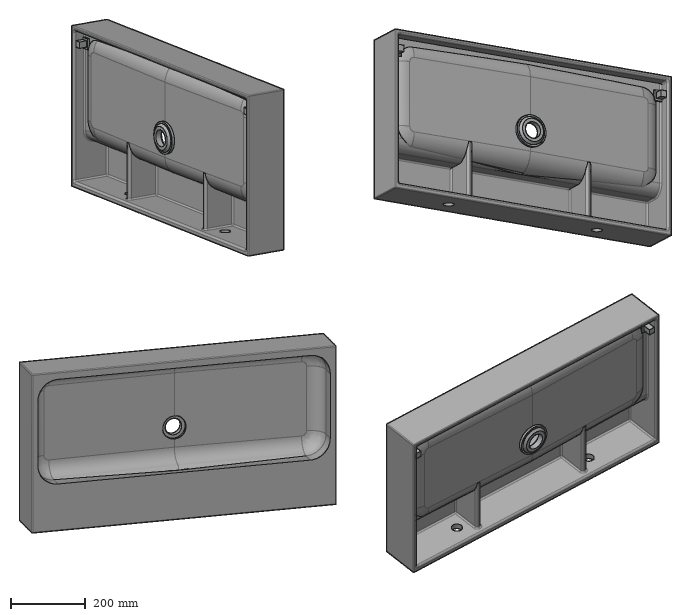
import cadquery as cq


length = 850.0
depth = 116.0
height = 445.0
outer_edge_radius = 2.5
side_wall = 13.0
mounting_wall = 16.0
deck_thickness = 8.0
mouth_radius = 6.0
inner_radius = 4.0
deck_depth = depth - deck_thickness
cavity_half = length / 2 - side_wall
cavity_top = height - side_wall

bowl_half = 418.0
bowl_bottom = 121.5
bowl_top = 435.0
bowl_corner_radius = 66.0
bowl_edge_radius = 53.0
bowl_end_depth = 25.5
bowl_middle_depth = 17.0
bowl_wall = 10.0

ledge_depth = 35.0
ledge_edge_radius = 32.0

rib_offset = 183.0
rib_width = 15.0
rib_depth = 19.5
rib_top = 172.5
rib_edge_radius = 7.0

drain_z = 229.5
drain_radius = 23.0
boss_radius = 39.0
boss_depth = 2.5
boss_chamfer = 7.0
collar_radius = 44.0
collar_depth = 10.0
seat_radius = 32.0
seat_depth = 19.5

lug_width = 17.0
lug_height = 18.0
lug_center_z = 396.0
lug_depth = 6.0
lug_foot_margin = 6.0
lug_foot_depth = 29.0

mount_hole_radius = 14.5
mount_hole_offset = 228.0
mount_hole_depth = 58.0


def block(x_min, x_max, y_min, y_max, z_min, z_max):
    """Box given by its limits along each axis."""
    size = (x_max - x_min, y_max - y_min, z_max - z_min)
    return cq.Workplane("XY").box(*size, centered=False).translate((x_min, y_min, z_min))


def bowl_body(inset):
    """Solid bowl reduced by an inset all round, reaching back to the rim."""
    half = bowl_half - inset
    bottom = bowl_bottom + inset
    top = bowl_top - inset
    end_depth = bowl_end_depth + inset
    ridge = (0, bowl_middle_depth + inset)
    outline = [(-half, depth), (-half, end_depth), ridge, (half, end_depth), (half, depth)]
    body = cq.Workplane("XY", origin=(0, 0, bottom)).polyline(outline).close().extrude(top - bottom)
    body = body.edges("|Y").fillet(bowl_corner_radius - inset)

    floor_edges = body.faces("<Y").edges("not |Z")
    return floor_edges.fillet(bowl_edge_radius - inset)


def drain_cylinder(radius, start, end):
    """Cylinder on the drain axis between two depths."""
    return cq.Workplane("XZ", origin=(0, start, drain_z)).circle(radius).extrude(start - end)


def rib(x):
    """Upright rib with a rounded free edge."""
    half = rib_width / 2
    body = block(x - half, x + half, rib_depth, deck_depth, mounting_wall, rib_top)
    return body.edges("<Y and |Z").fillet(rib_edge_radius)


def lug(side):
    """Lug on a wider foot, against the side wall given by the sign of side."""
    def pad(width, pad_height, pad_depth):
        body = block(0, width, pad_depth, deck_depth, -pad_height / 2, pad_height / 2)
        return body.translate((-cavity_half, 0, lug_center_z))

    foot = pad(lug_width + lug_foot_margin, lug_height + 2 * lug_foot_margin, lug_foot_depth)
    body = pad(lug_width, lug_height, lug_depth).union(foot)
    return body if side < 0 else body.mirror("YZ")


def edges_within(body, low, high):
    """Edges whose centre lies inside the box between two corner points, grown by a tolerance."""
    tolerance = 0.4
    low_corner = tuple(value - tolerance for value in low)
    high_corner = tuple(value + tolerance for value in high)
    return body.edges(cq.selectors.BoxSelector(low_corner, high_corner))


outer = block(-length / 2, length / 2, 0, depth, 0, height).edges().fillet(outer_edge_radius)
body = outer.cut(block(-cavity_half, cavity_half, 0, deck_depth, mounting_wall, cavity_top))

ledge = block(-cavity_half, cavity_half, ledge_depth, deck_depth, bowl_bottom, cavity_top)
ledge = ledge.edges("|X and <Y and <Z").fillet(ledge_edge_radius)
body = body.union(ledge).union(bowl_body(0).intersect(outer))

for x in (-rib_offset, rib_offset):
    body = body.union(rib(x))

deck_edges = edges_within(
    body, (-cavity_half, deck_depth, mounting_wall), (cavity_half, deck_depth, cavity_top)
)
mounting_wall_edges = edges_within(
    body, (-cavity_half, mouth_radius, mounting_wall), (cavity_half, deck_depth, mounting_wall)
)
inner_edges = deck_edges.add(mounting_wall_edges)
for x in (-cavity_half, cavity_half):
    wall_edges = edges_within(body, (x, mouth_radius, mounting_wall), (x, deck_depth, cavity_top))
    inner_edges = inner_edges.add(wall_edges)
body = body.newObject(inner_edges.vals()).fillet(inner_radius)

mouth_edges = edges_within(body, (-cavity_half, 0, mounting_wall), (cavity_half, 0, cavity_top))
body = mouth_edges.fillet(mouth_radius)

for side in (-1, 1):
    body = body.union(lug(side))

boss = drain_cylinder(boss_radius, boss_depth, bowl_end_depth)
boss = boss.faces("<Y").edges().chamfer(boss_chamfer)
collar = drain_cylinder(collar_radius, collar_depth, bowl_end_depth)
body = body.union(collar).union(boss)
body = body.cut(bowl_body(bowl_wall))
body = body.cut(drain_cylinder(seat_radius, seat_depth, depth))
body = body.cut(drain_cylinder(drain_radius, 0, depth))

for x in (-mount_hole_offset, mount_hole_offset):
    hole = cq.Workplane("XY", origin=(x, mount_hole_depth, 0)).circle(mount_hole_radius)
    body = body.cut(hole.extrude(mounting_wall))

result = cq.Workplane(body.solids().val())